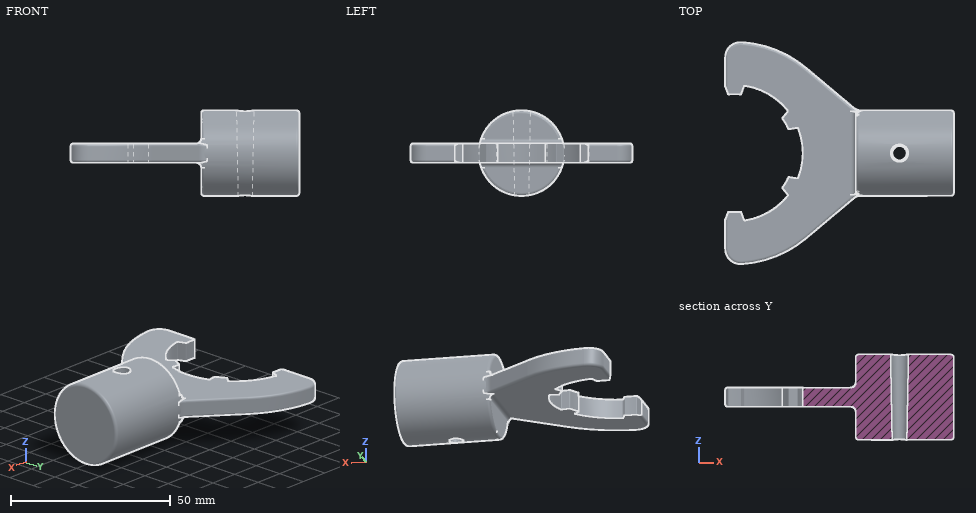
import cadquery as cq
import math

TOTAL_LENGTH = 72.0
THICKNESS = 6.2
JAW_OUTER_RADIUS = 35.0
JAW_INNER_RADIUS = 21.4
JAW_END_X = -3.0
CORNER_RADIUS = 5.0
FLANK_SLOPE = 40.0
EDGE_ROUND = 1.0

TOOTH_TIP_RADIUS = 18.5
TOOTH_TIP_WIDTH = 4.0
TOOTH_ROOT_WIDTH = 6.3
TOOTH_ANGLES = (-90, -30, 30, 90)
TOOTH_ROUND = 0.3
TOOTH_OVERLAP = 1.45

BARREL_DIAMETER = 27.0
BARREL_RADIUS = BARREL_DIAMETER / 2
BARREL_LENGTH = 30.95
BARREL_END_X = JAW_END_X + TOTAL_LENGTH
BARREL_START_X = BARREL_END_X - BARREL_LENGTH
PLATE_EMBED = 3.6
JUNCTION_ROUND = 1.45
ROOT_RADIUS = 3.95
ROOT_HALF_WIDTH = 13.4

PIN_HOLE_X = 51.85
PIN_HOLE_TOP_DIAMETER = 5.5
PIN_HOLE_BOTTOM_DIAMETER = 4.5


def polar(radius, degrees):
    angle = math.radians(degrees)
    return radius * math.cos(angle), radius * math.sin(angle)


def make_blank():
    """Fork outline without the jaw opening, with rounded long edges."""
    end_y = math.sqrt(JAW_OUTER_RADIUS**2 - JAW_END_X**2)
    tangent_angle = 90.0 - FLANK_SLOPE
    tangent_x, tangent_y = polar(JAW_OUTER_RADIUS, tangent_angle)
    arc_x, arc_y = polar(JAW_OUTER_RADIUS, tangent_angle + FLANK_SLOPE / 2)
    slope = math.tan(math.radians(FLANK_SLOPE))
    root_corner_x = tangent_x + (tangent_y - ROOT_HALF_WIDTH) / slope
    root_reach = ROOT_RADIUS * math.tan(math.radians(FLANK_SLOPE / 2))
    root_end_x = root_corner_x + root_reach
    root_center_y = ROOT_HALF_WIDTH + ROOT_RADIUS
    mid_dx, mid_dy = polar(ROOT_RADIUS, -90.0 - FLANK_SLOPE / 2)
    start_dx, start_dy = polar(ROOT_RADIUS, -90.0 - FLANK_SLOPE)
    root_start = (root_end_x + start_dx, root_center_y + start_dy)
    root_mid = (root_end_x + mid_dx, root_center_y + mid_dy)
    root_end = (root_end_x, ROOT_HALF_WIDTH)
    tail_x = BARREL_START_X + PLATE_EMBED
    tail_y = BARREL_RADIUS / 2
    half = (
        cq.Workplane("XY")
        .workplane(offset=-THICKNESS / 2)
        .moveTo(JAW_END_X, 0)
        .lineTo(JAW_END_X, end_y)
        .threePointArc((arc_x, arc_y), (tangent_x, tangent_y))
        .lineTo(*root_start)
        .threePointArc(root_mid, root_end)
        .lineTo(tail_x, tail_y)
        .lineTo(tail_x, 0)
        .close()
        .extrude(THICKNESS)
    )
    blank = half.union(half.mirror("XZ")).clean()
    corners = cq.selectors.BoxSelector(
        (JAW_END_X - 0.7, -end_y - 0.7, -THICKNESS), (JAW_END_X + 0.7, end_y + 0.7, THICKNESS)
    )
    blank = blank.edges("|Z").edges(corners).fillet(CORNER_RADIUS)
    return blank.faces("|Z").edges("not(>X)").fillet(EDGE_ROUND)


def make_jaw_opening():
    """Round opening, open to -X, with tapered teeth standing into it."""
    opening = cq.Workplane("XY").circle(JAW_INNER_RADIUS).extrude(THICKNESS, both=True)
    taper = (TOOTH_ROOT_WIDTH - TOOTH_TIP_WIDTH) / 2 / (JAW_INNER_RADIUS - TOOTH_TIP_RADIUS)
    base_radius = JAW_INNER_RADIUS + TOOTH_OVERLAP
    base_half = TOOTH_TIP_WIDTH / 2 + taper * (base_radius - TOOTH_TIP_RADIUS)
    tip_half = TOOTH_TIP_WIDTH / 2
    tip_x = math.sqrt(TOOTH_TIP_RADIUS**2 - tip_half**2)
    for angle in TOOTH_ANGLES:
        tooth = (
            cq.Workplane("XY")
            .moveTo(tip_x, -tip_half)
            .lineTo(base_radius, -base_half)
            .lineTo(base_radius, base_half)
            .lineTo(tip_x, tip_half)
            .threePointArc((TOOTH_TIP_RADIUS, 0), (tip_x, -tip_half))
            .close()
            .extrude(THICKNESS, both=True)
            .rotate((0, 0, 0), (0, 0, 1), angle)
        )
        opening = opening.cut(tooth)
    return opening.edges("|Z").fillet(TOOTH_ROUND)


def make_barrel():
    return (
        cq.Workplane("YZ")
        .workplane(offset=BARREL_START_X)
        .circle(BARREL_RADIUS)
        .extrude(BARREL_LENGTH)
        .faces("|X")
        .edges()
        .fillet(EDGE_ROUND)
    )


def make_pin_hole():
    """Slightly tapered cross hole, wide at the top."""
    return (
        cq.Workplane("XY", origin=(PIN_HOLE_X, 0, -BARREL_RADIUS))
        .circle(PIN_HOLE_BOTTOM_DIAMETER / 2)
        .workplane(offset=BARREL_DIAMETER)
        .circle(PIN_HOLE_TOP_DIAMETER / 2)
        .loft(ruled=True)
    )


def make_junction_fillets():
    """Concave fillets between both plate faces and the front face of the barrel."""
    plate_z = THICKNESS / 2
    fillet_x = BARREL_START_X - JUNCTION_ROUND
    fillet_z = plate_z + JUNCTION_ROUND
    back_x = BARREL_START_X + EDGE_ROUND
    arc_dx, arc_dz = polar(JUNCTION_ROUND, -45.0)
    upper = (
        cq.Workplane("XZ")
        .moveTo(fillet_x, plate_z)
        .threePointArc((fillet_x + arc_dx, fillet_z + arc_dz), (BARREL_START_X, fillet_z))
        .lineTo(back_x, fillet_z)
        .lineTo(back_x, 0)
        .lineTo(fillet_x, 0)
        .close()
        .extrude(BARREL_RADIUS, both=True)
    )
    envelope = (
        cq.Workplane("YZ")
        .workplane(offset=fillet_x)
        .circle(BARREL_RADIUS)
        .extrude(JUNCTION_ROUND + EDGE_ROUND)
    )
    return upper.union(upper.mirror("XY")).intersect(envelope)


fork = make_blank().cut(make_jaw_opening())
result = fork.union(make_barrel()).union(make_junction_fillets()).cut(make_pin_hole())